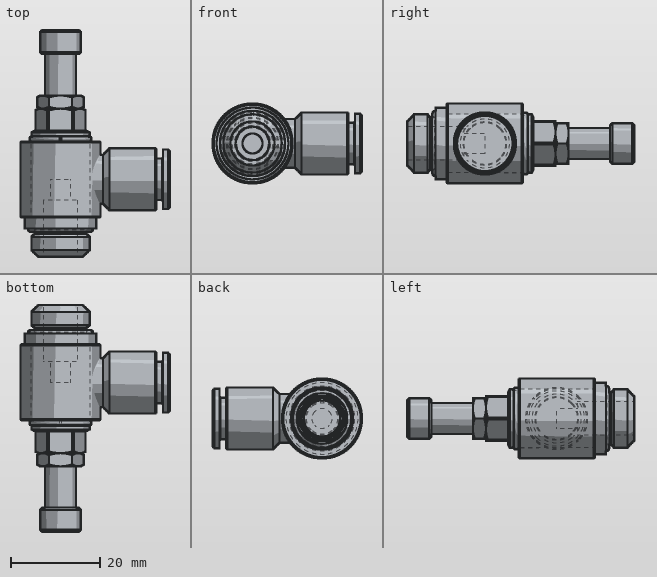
import cadquery as cq
import math


total_length = 51.0
thread_lead_end = 1.6
thread_top = 4.55
thread_relief_start = 5.15
flange_bottom = 6.4
sleeve_bottom = 8.8
sleeve_top = 25.95
clip_top = 27.05
clip_groove_top = 27.2
collar_edge = 27.95
hex_base = 28.4
nut_base = 33.3
nut_top = 36.25
knob_base = 45.55

thread_radius = 6.6
thread_tip_radius = 4.95
relief_radius = 5.85
flange_radius = 8.05
clip_radius = 7.0
clip_edge_radius = 6.7
clip_groove_radius = 6.3
stem_radius = 3.5
knob_radius = 4.6
knob_chamfer = 0.5
seal_section_radius = 0.75
seal_center_radius = 6.6

hex_across_flats = 10.05
hex_corner_radius = 5.65
nut_across_flats = 9.15
nut_corner_radius = nut_across_flats / math.sqrt(3)
hex_chamfer_angle = math.radians(30)

bore_radius = 3.8
bore_depth = 12.75
seat_radius = 2.25

overall_width = 33.6
sleeve_radius = 18.0 / 2
sleeve_chamfer = 0.3
arm_height = 17.45
arm_neck_radius = 5.5
arm_neck_end = 9.55
arm_radius = 7.0
arm_cone_end = arm_neck_end + arm_radius - arm_neck_radius
arm_end = 21.55
arm_chamfer = 0.3
arm_root_fillet = 0.2
ring_neck_radius = 4.7
ring_start = 23.0
ring_neck_chamfer = 0.2
ring_end = overall_width - sleeve_radius
ring_radius = 6.75
ring_chamfer = 0.5

clip_gap_width = 0.5


def cylinder_y(radius, start, end):
    """Cylinder on the Y axis between two heights."""
    base = cq.Vector(0, start, 0)
    return cq.Workplane(cq.Solid.makeCylinder(radius, end - start, base, cq.Vector(0, 1, 0)))


def turned_y(profile):
    """Turn a closed (radius, height) profile about the Y axis."""
    return profile.close().revolve(360, (0, 0, 0), (0, 1, 0))


def hexagon(across_flats, corner_radius, start, end, chamfer_base):
    """Hexagonal prism along Y with corners on the X axis, turned to a chamfered round blank."""
    corner_diameter = 2 * across_flats / math.sqrt(3)
    prism = (
        cq.Workplane("XZ", origin=(0, start, 0))
        .polygon(6, corner_diameter)
        .extrude(start - end)
    )
    face_radius = across_flats / 2
    drop = (corner_radius - face_radius) * math.tan(hex_chamfer_angle)
    blank = cq.Workplane("XY").moveTo(0, start)
    if chamfer_base:
        blank = blank.lineTo(face_radius, start).lineTo(corner_radius, start + drop)
    else:
        blank = blank.lineTo(corner_radius, start)
    blank = blank.lineTo(corner_radius, end - drop).lineTo(face_radius, end).lineTo(0, end)
    return prism.intersect(turned_y(blank))


def make_threaded_end():
    """Thread with lead-in and undercut, and the flange under the elbow."""
    profile = (
        cq.Workplane("XY")
        .lineTo(thread_tip_radius, 0)
        .lineTo(thread_radius, thread_lead_end)
        .lineTo(thread_radius, thread_top)
        .lineTo(relief_radius, thread_relief_start)
        .lineTo(relief_radius, flange_bottom)
        .lineTo(flange_radius, flange_bottom)
        .lineTo(flange_radius, sleeve_bottom)
        .lineTo(0, sleeve_bottom)
    )
    return turned_y(profile)


def make_seal():
    """Sealing ring half sunk in the underside of the flange."""
    center = cq.Vector(0, flange_bottom, 0)
    axis = cq.Vector(0, 1, 0)
    return cq.Workplane(cq.Solid.makeTorus(seal_center_radius, seal_section_radius, center, axis))


def make_collar():
    """Collar between the retaining clip and the hexagon, with a narrow groove above the clip."""
    profile = (
        cq.Workplane("XY")
        .moveTo(0, clip_top)
        .lineTo(clip_groove_radius, clip_top)
        .lineTo(clip_groove_radius, clip_groove_top)
        .lineTo(thread_radius, clip_groove_top)
        .lineTo(thread_radius, collar_edge)
        .lineTo(hex_corner_radius, hex_base)
        .lineTo(0, hex_base)
    )
    return turned_y(profile)


def make_clip():
    """Crowned retaining clip above the elbow, split on its +Z side."""
    clip_middle = (sleeve_top + clip_top) / 2
    profile = (
        cq.Workplane("XY")
        .moveTo(0, sleeve_top)
        .lineTo(clip_edge_radius, sleeve_top)
        .threePointArc((clip_radius, clip_middle), (clip_edge_radius, clip_top))
        .lineTo(0, clip_top)
    )
    gap_depth = clip_radius - clip_groove_radius
    gap = cq.Workplane("XY", origin=(0, clip_middle, clip_groove_radius)).box(
        clip_gap_width, clip_top - sleeve_top, gap_depth, centered=(True, True, False)
    )
    return turned_y(profile).cut(gap)


def make_spindle():
    shank = cylinder_y(thread_radius, sleeve_bottom, sleeve_top)
    body_hex = hexagon(hex_across_flats, hex_corner_radius, hex_base, nut_base, chamfer_base=False)
    lock_nut = hexagon(nut_across_flats, nut_corner_radius, nut_base, nut_top, chamfer_base=True)
    stem = cylinder_y(stem_radius, nut_top, knob_base)
    knob = cylinder_y(knob_radius, knob_base, total_length).edges("%CIRCLE").chamfer(knob_chamfer)
    spindle = make_threaded_end()
    for section in (make_seal(), shank, make_clip(), make_collar(), body_hex, lock_nut, stem, knob):
        spindle = spindle.union(section)
    bore = cylinder_y(bore_radius, 0, bore_depth)
    seat = cylinder_y(seat_radius, bore_depth, arm_height)
    return spindle.cut(bore).cut(seat)


def make_arm():
    """Arm with its push-in release ring, turned about its own axis parallel to X."""
    return (
        cq.Workplane("XY", origin=(0, arm_height, 0))
        .lineTo(0, arm_neck_radius)
        .lineTo(arm_neck_end, arm_neck_radius)
        .lineTo(arm_cone_end, arm_radius)
        .lineTo(arm_end - arm_chamfer, arm_radius)
        .lineTo(arm_end, arm_radius - arm_chamfer)
        .lineTo(arm_end, ring_neck_radius)
        .lineTo(ring_start - ring_neck_chamfer, ring_neck_radius)
        .lineTo(ring_start, ring_neck_radius + ring_neck_chamfer)
        .lineTo(ring_start, ring_radius)
        .lineTo(ring_end - ring_chamfer, ring_radius)
        .lineTo(ring_end, ring_radius - ring_chamfer)
        .lineTo(ring_end, 0)
        .close()
        .revolve(360, (0, 0, 0), (1, 0, 0))
    )


def make_elbow():
    sleeve = cylinder_y(sleeve_radius, sleeve_bottom, sleeve_top).edges("%CIRCLE").chamfer(sleeve_chamfer)
    elbow = sleeve.union(make_arm())
    elbow = elbow.edges("%BSPLINE").fillet(arm_root_fillet)
    return elbow.cut(cylinder_y(thread_radius, sleeve_bottom, sleeve_top))


spindle = make_spindle()
elbow = make_elbow()

result = cq.Compound.makeCompound([spindle.solids().val(), elbow.solids().val()])